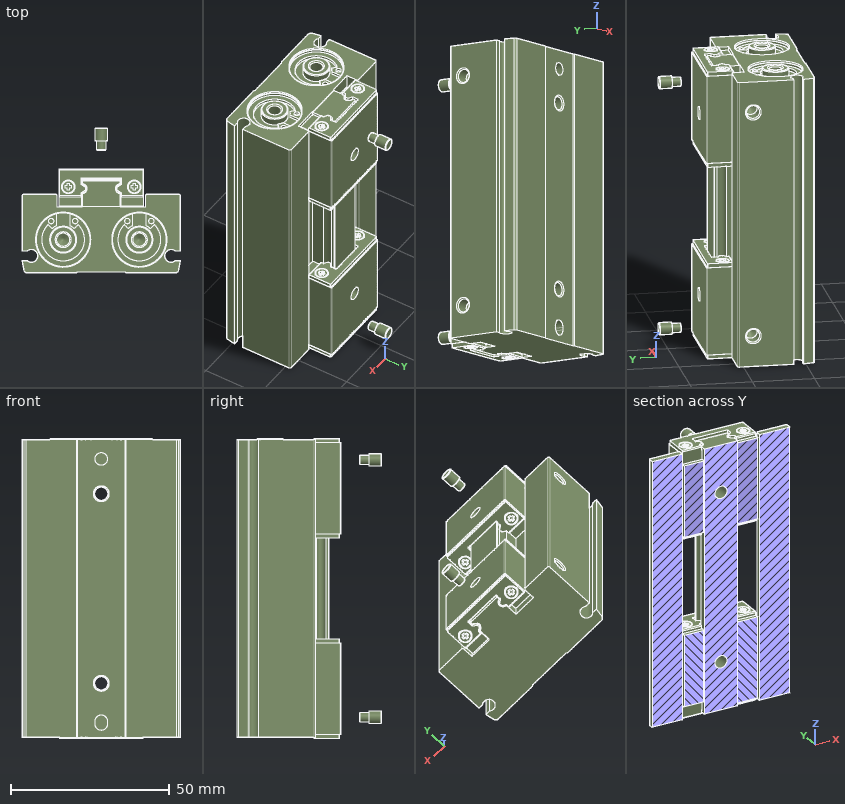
import cadquery as cq
import math


housing_length = 94.0
housing_width = 50.0
housing_half_width = housing_width / 2
shoulder_y = 24.9
shoulder_radius = 0.6
groove_half_width = 13.9
groove_floor_y = 20.9
taper_start_y = 3.6
taper_end_y = 0.6
taper_inset = 0.6
front_chamfer_inset = 1.2
panel_half_width = 7.9
panel_depth = 0.3
housing_top = housing_length / 2

slot_y = 5.4
slot_mouth = 3.0
slot_diameter = 4.0
slot_center_x = 22.1

thread_diameter = 4.2
thread_countersink = 5.0
mount_hole_z = 30.0
port_y = 19.9
port_z = 37.0
port_depth = 4.7
drill_angle = 118

dowel_diameter = 4.0
dowel_depth = 3.8
dowel_hole_z = 41.0
dowel_slot_z = -42.4
dowel_slot_length = 4.8

rod_x = 12.0
rod_y = 10.5
rod_diameter = 8.5
rod_chamfer = 0.3
rod_length = 19.0
rod_top = 47.4
rod_hole_depth = 7.6
bore_diameter = 17.0
bore_rim_diameter = 17.4
bore_rim_depth = 0.6
bore_depth = 2.4

ring_thickness = 0.95
ring_inner_diameter = 13.5
ring_gap = 4.2
ear_inner_diameter = 9.9
ear_edge_angle = 45
ear_hole_diameter = 1.7
ear_hole_x = 3.8
ear_hole_y = 5.9

rail_half_width = 6.1
rail_top_y = 29.2
rail_chamfer = 0.2
rail_seat_y = 21.0
rail_end_inset = 0.2
race_y = 26.6
race_diameter = 3.0

carriage_length = 31.5
carriage_end = rod_top
carriage_half_width = 13.4
carriage_bottom_y = 21.0
carriage_top_y = 32.9
carriage_corner_radius = 0.3
leg_relief_depth = 4.7
cap_thickness = 1.3
cap_half_width = 13.3
cap_bottom_y = 24.1
cap_bottom_chamfer = 0.4
cap_top_y = 32.5
cap_corner_chamfer = 0.2
block_clearance = 0.1
block_channel_top_y = 29.6
cap_channel_half_width = 6.35
cap_channel_top_y = 30.05
cap_tongue_tip_x = 5.0
cap_tongue_tip_half = 0.5
cap_tongue_root_half = 1.3
cap_screw_x = 10.4
cap_screw_y = 27.2
cap_screw_seat = 4.3
cap_screw_head = 3.8
cap_screw_recess = 0.95
cross_span = 2.0
cross_width = 0.8

screw_z = 40.7
screw_back_y = 45.8
screw_head_diameter = 4.0
screw_head_length = 4.1
screw_tip_diameter = 3.0
screw_tip_length = 2.9
screw_chamfer = 0.2


def plan_at(z):
    """XY sketch plane at height z."""
    return cq.Workplane("XY").workplane(offset=z)


def mirrored_outline(half_points):
    """Close an outline from its +X half and the mirror image of that half."""
    return half_points + [(-x, y) for x, y in reversed(half_points)]


def countersunk_cutter(depth, point_angle=None):
    """Threaded hole cutter going down from the origin, with its mouth chamfer."""
    radius = thread_diameter / 2
    mouth_radius = thread_countersink / 2
    point = radius / math.tan(math.radians(point_angle / 2)) if point_angle else 0
    profile = [(0, 0), (mouth_radius, 0), (radius, radius - mouth_radius), (radius, -depth)]
    profile.append((0, -depth - point))
    return cq.Workplane("XZ").polyline(profile).close().revolve(360, (0, 0, 0), (0, 1, 0))


def housing_body():
    """Extruded profile with the carriage groove and a shallow front panel."""
    outer = housing_half_width
    half = [
        (panel_half_width - panel_depth, panel_depth),
        (panel_half_width, 0),
        (outer - front_chamfer_inset, 0),
        (outer - taper_inset, taper_end_y),
        (outer, taper_start_y),
        (outer, shoulder_y),
        (groove_half_width, shoulder_y),
        (groove_half_width, groove_floor_y),
        (rail_half_width, groove_floor_y),
        (rail_half_width, rail_seat_y),
    ]
    body = plan_at(-housing_top).polyline(mirrored_outline(half)).close().extrude(housing_length)
    return body.faces(">Y").edges("|Z").fillet(shoulder_radius)


def rail():
    """Guide rail with a round ball race along each side."""
    half = [
        (rail_half_width, groove_floor_y),
        (rail_half_width, rail_top_y - rail_chamfer),
        (rail_half_width - rail_chamfer, rail_top_y),
    ]
    start = -housing_top
    length = housing_length - rail_end_inset
    blank = plan_at(start).polyline(mirrored_outline(half)).close().extrude(length)
    race_points = [(side * rail_half_width, race_y) for side in (-1, 1)]
    races = plan_at(start).pushPoints(race_points).circle(race_diameter / 2).extrude(length)
    return blank.cut(races)


def side_slots():
    """Round-bottomed sensor slots open to both sides."""
    mouth_length = housing_half_width - slot_center_x
    cutters = cq.Workplane("XY")
    for side in (-1, 1):
        base = plan_at(-housing_top).center(side * slot_center_x, slot_y)
        round_part = base.circle(slot_diameter / 2).extrude(housing_length)
        mouth = base.center(side * mouth_length / 2, 0).rect(mouth_length, slot_mouth)
        cutters = cutters.add(round_part).add(mouth.extrude(housing_length))
    return cutters.combine()


def mounting_holes():
    """Two threaded holes through the full depth, countersunk at the front panel."""
    cutter = countersunk_cutter(carriage_top_y).rotate((0, 0, 0), (1, 0, 0), 90)
    cutters = cq.Workplane("XY")
    for z in (-mount_hole_z, mount_hole_z):
        cutters = cutters.add(cutter.translate((0, panel_depth, z)))
    return cutters.combine()


def ports():
    """Blind threaded ports in the -X side."""
    cutter = countersunk_cutter(port_depth, drill_angle).rotate((0, 0, 0), (0, 1, 0), -90)
    cutters = cq.Workplane("XY")
    for z in (-port_z, port_z):
        cutters = cutters.add(cutter.translate((-housing_half_width, port_y, z)))
    return cutters.combine()


def dowel_holes():
    """Round dowel hole near the top of the front panel and a slotted one near the bottom."""
    front = cq.Workplane("XZ")
    depth = -(panel_depth + dowel_depth)
    hole = front.center(0, dowel_hole_z).circle(dowel_diameter / 2).extrude(depth)
    slot = front.center(0, dowel_slot_z).slot2D(dowel_slot_length, dowel_diameter, 90).extrude(depth)
    return hole.union(slot)


def retaining_ring(center_x):
    """Ring left standing on the bore floor, open at +Y between two drilled ears."""
    floor = plan_at(housing_top - bore_depth).center(center_x, rod_y)
    bore_radius = bore_diameter / 2
    band = floor.circle(bore_radius).circle(ring_inner_diameter / 2).extrude(ring_thickness)
    ears = floor.circle(bore_radius).circle(ear_inner_diameter / 2).extrude(ring_thickness)
    wedge_half = bore_diameter * math.tan(math.radians(ear_edge_angle))
    wedge_points = [(0, 0), (wedge_half, bore_diameter), (-wedge_half, bore_diameter)]
    ears = ears.intersect(floor.polyline(wedge_points).close().extrude(ring_thickness))
    gap = floor.center(0, bore_radius).rect(ring_gap, bore_diameter).extrude(ring_thickness)
    hole_points = [(side * ear_hole_x, ear_hole_y) for side in (-1, 1)]
    holes = floor.pushPoints(hole_points).circle(ear_hole_diameter / 2).extrude(ring_thickness)
    return band.union(ears).cut(gap).cut(holes)


def rod_bore(center_x):
    """Bore for the rod end with its retaining ring, and the hole that holds the rod."""
    pocket = (
        plan_at(housing_top).center(center_x, rod_y).circle(bore_diameter / 2).extrude(-bore_depth)
    )
    rim = (
        plan_at(housing_top).center(center_x, rod_y)
        .circle(bore_rim_diameter / 2).extrude(-bore_rim_depth)
    )
    rod_hole = (
        plan_at(rod_top - rod_length).center(center_x, rod_y)
        .circle(rod_diameter / 2).extrude(rod_length)
    )
    return pocket.cut(retaining_ring(center_x)).union(rim).union(rod_hole)


def make_housing():
    """Housing in one piece with its rail."""
    body = housing_body().union(rail())
    for side in (-1, 1):
        body = body.cut(rod_bore(side * rod_x))
    return body.cut(side_slots()).cut(mounting_holes()).cut(ports()).cut(dowel_holes())


def make_rod(center_x):
    """Piston rod end with a threaded hole in its top."""
    rod = cq.Workplane("XY").circle(rod_diameter / 2).extrude(-rod_length)
    rod = rod.faces(">Z").edges().chamfer(rod_chamfer)
    rod = rod.cut(countersunk_cutter(rod_hole_depth, drill_angle))
    return rod.translate((center_x, rod_y, rod_top))


def cap_channel():
    """Clearance in the end caps, narrowed by a flat tongue that reaches into each ball race."""
    half = [
        (cap_channel_half_width, carriage_bottom_y),
        (cap_channel_half_width, race_y - cap_tongue_root_half),
        (cap_tongue_tip_x, race_y - cap_tongue_tip_half),
        (cap_tongue_tip_x, race_y + cap_tongue_tip_half),
        (cap_channel_half_width, race_y + cap_tongue_root_half),
        (cap_channel_half_width, cap_channel_top_y),
    ]
    outline = plan_at(-carriage_length / 2).polyline(mirrored_outline(half))
    return outline.close().extrude(carriage_length)


def block_channel():
    """Close-fitting clearance in the block, with a round tongue inside each ball race."""
    half_width = rail_half_width + block_clearance
    height = block_channel_top_y - carriage_bottom_y
    start = -carriage_length / 2
    channel = (
        plan_at(start).center(0, carriage_bottom_y + height / 2)
        .rect(2 * half_width, height).extrude(carriage_length)
    )
    tongue_points = [(side * rail_half_width, race_y) for side in (-1, 1)]
    tongue_radius = race_diameter / 2 - block_clearance
    tongues = plan_at(start).pushPoints(tongue_points).circle(tongue_radius).extrude(carriage_length)
    return channel.cut(tongues)


def cap_screws():
    """Recesses around and in the heads of the end cap screws, cut down from Z = 0."""
    points = [(side * cap_screw_x, cap_screw_y) for side in (-1, 1)]
    face = cq.Workplane("XY").pushPoints(points)
    seat = face.circle(cap_screw_seat / 2).circle(cap_screw_head / 2).extrude(-cap_screw_recess)
    arm = cross_width / 2
    tip = cross_span / 2
    quarter = [(tip, -arm), (tip, arm), (arm, arm)]
    for center in points:
        outline = []
        for _ in range(4):
            outline += quarter
            quarter = [(-y, x) for x, y in quarter]
        cross = cq.Workplane("XY").center(*center).polyline(outline).close()
        seat = seat.union(cross.extrude(-cap_screw_recess))
    return seat


def carriage_block():
    """Middle part of a carriage, centred on Z = 0."""
    height = carriage_top_y - carriage_bottom_y
    length = carriage_length - 2 * cap_thickness
    block = cq.Workplane("XY").box(
        2 * carriage_half_width, height, length, centered=(True, False, True)
    )
    block = block.faces(">Y").edges("|Z").fillet(carriage_corner_radius)
    return block.translate((0, carriage_bottom_y, 0)).cut(block_channel())


def leg_relief():
    """Cutter that shortens the -X leg of a carriage at its top end, below the end cap."""
    height = cap_bottom_y - carriage_bottom_y
    relief = cq.Workplane("XY").box(
        carriage_half_width, height, leg_relief_depth, centered=(False, False, False)
    )
    return relief.translate(
        (-carriage_half_width, carriage_bottom_y, carriage_length / 2 - leg_relief_depth)
    )


def end_cap():
    """Cap on the top end of a carriage centred on Z = 0."""
    height = cap_top_y - cap_bottom_y
    cap = cq.Workplane("XY").box(
        2 * cap_half_width, height, cap_thickness, centered=(True, False, False)
    )
    cap = cap.faces(">Y").edges("|Z").chamfer(cap_corner_chamfer)
    cap = cap.faces("<Y").edges(">Z").chamfer(cap_bottom_chamfer)
    cap = cap.translate((0, cap_bottom_y, carriage_length / 2 - cap_thickness))
    screws = cap_screws().translate((0, 0, carriage_length / 2))
    return cap.cut(cap_channel()).cut(screws)


def make_carriage(direction):
    """Carriage flush with the top (+1) or bottom (-1) end, capped at both of its ends."""
    cap = end_cap()
    carriage = carriage_block().union(cap).union(cap.mirror("XY"))
    carriage = carriage.cut(leg_relief())
    carriage = carriage.translate((0, 0, carriage_end - carriage_length / 2))
    if direction < 0:
        carriage = carriage.mirror("XY")
    mount_hole = (
        cq.Workplane("XZ").center(0, direction * mount_hole_z)
        .circle(thread_diameter / 2).extrude(-carriage_top_y)
    )
    return carriage.cut(mount_hole)


def make_stop_screw(center_z):
    """Stepped loose screw behind the carriages, its thin tip pointing to the front."""
    head = cq.Workplane("XZ").circle(screw_head_diameter / 2).extrude(screw_head_length)
    head = head.faces(">Y").edges().chamfer(screw_chamfer)
    tip = cq.Workplane("XZ").circle(screw_tip_diameter / 2)
    tip = tip.extrude(screw_head_length + screw_tip_length)
    tip = tip.faces("<Y").edges().chamfer(screw_chamfer)
    return head.union(tip).translate((0, screw_back_y, center_z))


housing = make_housing()
rods = [make_rod(side * rod_x) for side in (-1, 1)]
carriages = [make_carriage(direction) for direction in (-1, 1)]
stop_screws = [make_stop_screw(side * screw_z) for side in (-1, 1)]

bodies = [housing, *rods, *carriages, *stop_screws]
result = cq.Compound.makeCompound([body.val() for body in bodies])